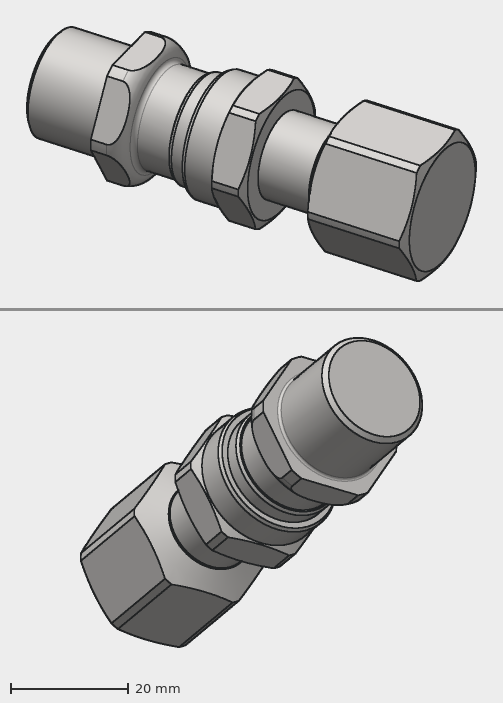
import cadquery as cq
import math

ACROSS_FLATS = 24.0
NUT_CORNER_RADIUS = 13.45
BEVEL_SLOPE = math.tan(math.radians(25))

THREAD_RADIUS = 20.0 / 2
THREAD_CHAMFER_LENGTH = 0.8
THREAD_CHAMFER_DEPTH = 0.9
THREAD_ROOT_FILLET = 0.45
NIPPLE_HEX_START = 14.85
NIPPLE_HEX_END = 20.95
NIPPLE_CORNER_RADIUS = 13.25
NIPPLE_ROUNDING_RADIUS = 3.05
NECK_RADIUS = 19.1 / 2
NECK_FILLET = 0.9

COLLAR_START = 28.3
COLLAR_RADIUS = 20.5 / 2
EDGE_CHAMFER_LENGTH = 0.7
EDGE_CHAMFER_DEPTH = 0.4

GLAND_START = 31.7
GLAND_BAND_RADIUS = 23.5 / 2
GLAND_HEX_START = 37.8
GLAND_END = 44.65
GLAND_REAR_RADIUS = 11.65

TUBE_RADIUS = 16.1 / 2

END_NUT_START = 54.6
END_NUT_LIP_LENGTH = 0.3
END_NUT_LIP_RADIUS = 16.3 / 2
END_NUT_REAR_RADIUS = 11.5
TOTAL_LENGTH = 76.2


def turn(profile):
    """Close an (x, radius) outline that starts and ends on the X axis and revolve it."""
    return profile.close().revolve(360, (0, 0, 0), (1, 0, 0))


def hex_bar(start, end):
    """Hexagonal bar along X with flats at the top and bottom and corners on +Y and -Y."""
    across_corners = ACROSS_FLATS / math.cos(math.pi / 6)
    return (
        cq.Workplane("YZ", origin=(start, 0, 0))
        .polygon(6, across_corners)
        .extrude(end - start)
    )


def bevelled_hex(start, front_radius, end, rear_radius):
    """Hexagon with turned corners, bevelled from the given face radius at either end."""
    front_run = (NUT_CORNER_RADIUS - front_radius) * BEVEL_SLOPE
    rear_run = (NUT_CORNER_RADIUS - rear_radius) * BEVEL_SLOPE
    envelope = turn(
        cq.Workplane("XY")
        .moveTo(start, 0)
        .lineTo(start, front_radius)
        .lineTo(start + front_run, NUT_CORNER_RADIUS)
        .lineTo(end - rear_run, NUT_CORNER_RADIUS)
        .lineTo(end, rear_radius)
        .lineTo(end, 0)
    )
    return hex_bar(start, end).intersect(envelope)


def chamfered_disc(start, end, radius):
    """Disc with the shared shallow chamfer on its leading edge."""
    return turn(
        cq.Workplane("XY")
        .moveTo(start, 0)
        .lineTo(start, radius - EDGE_CHAMFER_DEPTH)
        .lineTo(start + EDGE_CHAMFER_LENGTH, radius)
        .lineTo(end, radius)
        .lineTo(end, 0)
    )


def make_nipple():
    fillet_start = NIPPLE_HEX_START - THREAD_ROOT_FILLET
    thread = turn(
        cq.Workplane("XY")
        .lineTo(0, THREAD_RADIUS - THREAD_CHAMFER_DEPTH)
        .lineTo(THREAD_CHAMFER_LENGTH, THREAD_RADIUS)
        .lineTo(fillet_start, THREAD_RADIUS)
        .radiusArc((NIPPLE_HEX_START, THREAD_RADIUS + THREAD_ROOT_FILLET), -THREAD_ROOT_FILLET)
        .lineTo(NIPPLE_HEX_START, 0)
    )

    neck_flare_radius = NECK_RADIUS + NECK_FILLET
    rounding_drop = NIPPLE_CORNER_RADIUS - neck_flare_radius
    rounding_length = math.sqrt(
        NIPPLE_ROUNDING_RADIUS**2 - (NIPPLE_ROUNDING_RADIUS - rounding_drop) ** 2
    )
    envelope = turn(
        cq.Workplane("XY")
        .moveTo(NIPPLE_HEX_START, 0)
        .lineTo(NIPPLE_HEX_START, NIPPLE_CORNER_RADIUS)
        .lineTo(NIPPLE_HEX_END - rounding_length, NIPPLE_CORNER_RADIUS)
        .radiusArc((NIPPLE_HEX_END, neck_flare_radius), NIPPLE_ROUNDING_RADIUS)
        .lineTo(NIPPLE_HEX_END, 0)
    )
    hexagon = hex_bar(NIPPLE_HEX_START, NIPPLE_HEX_END).intersect(envelope)

    neck = turn(
        cq.Workplane("XY")
        .moveTo(NIPPLE_HEX_END, 0)
        .lineTo(NIPPLE_HEX_END, neck_flare_radius)
        .radiusArc((NIPPLE_HEX_END + NECK_FILLET, NECK_RADIUS), -NECK_FILLET)
        .lineTo(COLLAR_START, NECK_RADIUS)
        .lineTo(COLLAR_START, 0)
    )
    return thread.union(hexagon).union(neck)


def make_collar():
    return chamfered_disc(COLLAR_START, GLAND_START, COLLAR_RADIUS)


def make_gland_nut():
    band = chamfered_disc(GLAND_START, GLAND_HEX_START, GLAND_BAND_RADIUS)
    hexagon = bevelled_hex(GLAND_HEX_START, GLAND_BAND_RADIUS, GLAND_END, GLAND_REAR_RADIUS)
    return band.union(hexagon)


def make_tube():
    return (
        cq.Workplane("YZ", origin=(GLAND_END, 0, 0))
        .circle(TUBE_RADIUS)
        .extrude(END_NUT_START - GLAND_END)
    )


def make_end_nut():
    lip = (
        cq.Workplane("YZ", origin=(END_NUT_START, 0, 0))
        .circle(END_NUT_LIP_RADIUS)
        .extrude(END_NUT_LIP_LENGTH)
    )
    hex_start = END_NUT_START + END_NUT_LIP_LENGTH
    hexagon = bevelled_hex(hex_start, END_NUT_LIP_RADIUS, TOTAL_LENGTH, END_NUT_REAR_RADIUS)
    return lip.union(hexagon)


nipple = make_nipple()
collar = make_collar()
gland_nut = make_gland_nut()
tube = make_tube()
end_nut = make_end_nut()

result = cq.Compound.makeCompound(
    [nipple.val(), collar.val(), gland_nut.val(), tube.val(), end_nut.val()]
)